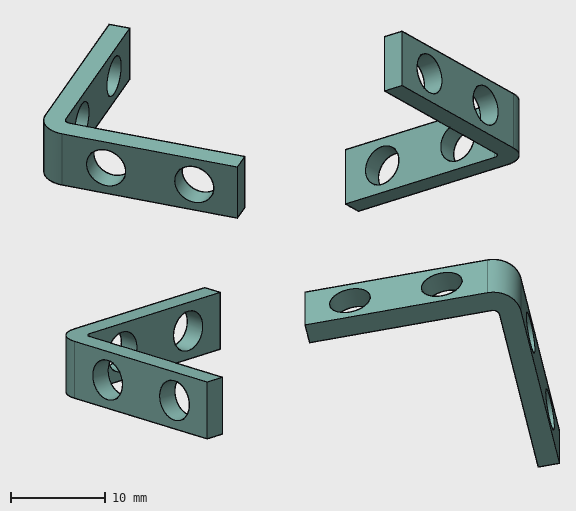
import cadquery as cq

leg_length = 22.78
strip_width = 6.35
thickness = 2.32
outer_bend_radius = 3.0
inner_bend_radius = outer_bend_radius - thickness

hole_diameter = 4.4
first_hole_distance = 7.95
hole_spacing = 9.95
hole_distances = [first_hole_distance, first_hole_distance + hole_spacing]


def bent_strip():
    """L-shaped strip with concentric inner and outer bend radii."""
    strip = (
        cq.Workplane("XY")
        .moveTo(0, 0)
        .lineTo(leg_length, 0)
        .lineTo(leg_length, thickness)
        .lineTo(thickness, thickness)
        .lineTo(thickness, leg_length)
        .lineTo(0, leg_length)
        .close()
        .extrude(strip_width)
    )
    outer_corner = cq.selectors.NearestToPointSelector((0, 0, strip_width / 2))
    strip = strip.edges(outer_corner).fillet(outer_bend_radius)
    inner_corner = cq.selectors.NearestToPointSelector((thickness, thickness, strip_width / 2))
    return strip.edges(inner_corner).fillet(inner_bend_radius)


def leg_hole(center, direction):
    """Cylinder that passes through one leg from its outer face."""
    return cq.Workplane(cq.Solid.makeCylinder(
        hole_diameter / 2, thickness, cq.Vector(*center), cq.Vector(*direction)
    ))


result = bent_strip()
for distance in hole_distances:
    result = result.cut(leg_hole((distance, 0, strip_width / 2), (0, 1, 0)))
    result = result.cut(leg_hole((0, distance, strip_width / 2), (1, 0, 0)))